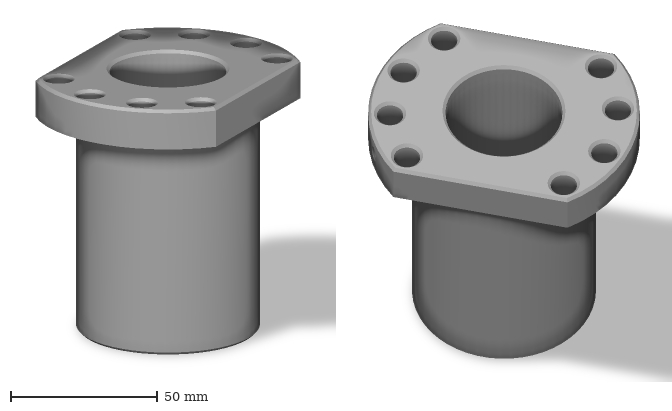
import cadquery as cq
import math

total_height = 93
flange_diameter = 93
flange_width = 70.0
flange_thickness = 14.0
body_diameter = 63.0
bore_diameter = 40
edge_chamfer = 1.0

bolt_circle_diameter = 78.0
bolt_hole_diameter = 9.0
bolt_hole_chamfer = 1.0
bolt_angles = (45, 75, 105, 135, 225, 255, 285, 315)

port_angle = 120
port_mouth_diameter = 5.2
port_diameter = 4.0
port_depth = 10.0

flange_bottom = total_height - flange_thickness


def make_flange():
    """Round flange with flats facing -X and +X, chamfered around its top edge."""
    base = cq.Workplane("XY", origin=(0, 0, flange_bottom))
    disc = base.circle(flange_diameter / 2).extrude(flange_thickness)
    flats = base.rect(flange_width, flange_diameter).extrude(flange_thickness)
    return disc.intersect(flats).faces(">Z").edges().chamfer(edge_chamfer)


def make_body():
    """Cylindrical body below the flange, chamfered at its lower end."""
    cylinder = cq.Workplane("XY").circle(body_diameter / 2).extrude(flange_bottom)
    return cylinder.faces("<Z").edges().chamfer(edge_chamfer)


def make_hole(diameter, chamfer):
    """Cutter for a full-height vertical hole, chamfered where it meets the top face."""
    radius = diameter / 2
    profile = [
        (0, 0),
        (radius, 0),
        (radius, total_height - chamfer),
        (radius + chamfer, total_height),
        (0, total_height),
    ]
    return cq.Workplane("XZ").polyline(profile).close().revolve(360, (0, 0), (0, 1))


def make_oil_port():
    """Cutter for the blind port, countersunk at 45 degrees where it opens in the rim."""
    angle = math.radians(port_angle)
    outward = cq.Vector(math.cos(angle), math.sin(angle), 0)
    axis_start = cq.Vector(0, 0, total_height - flange_thickness / 2)
    rim_radius = flange_diameter / 2
    drill_radius = port_diameter / 2
    mouth_radius = port_mouth_diameter / 2
    countersink_depth = mouth_radius - drill_radius

    drill_end = axis_start + outward * (rim_radius - port_depth)
    drill = cq.Solid.makeCylinder(drill_radius, port_depth, drill_end, outward)
    countersink_start = axis_start + outward * (rim_radius - countersink_depth)
    countersink = cq.Solid.makeCone(
        drill_radius, mouth_radius, countersink_depth, countersink_start, outward
    )
    return drill.fuse(countersink)


result = make_flange().union(make_body())
result = result.cut(make_hole(bore_diameter, edge_chamfer))

bolt_hole = make_hole(bolt_hole_diameter, bolt_hole_chamfer)
for bolt_angle in bolt_angles:
    bolt_x = bolt_circle_diameter / 2 * math.cos(math.radians(bolt_angle))
    bolt_y = bolt_circle_diameter / 2 * math.sin(math.radians(bolt_angle))
    result = result.cut(bolt_hole.translate((bolt_x, bolt_y, 0)))

result = result.cut(make_oil_port())